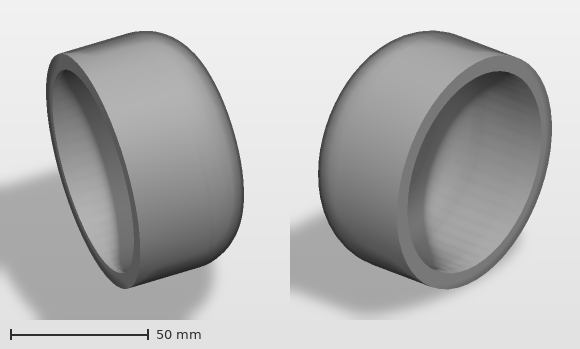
import cadquery as cq
import math

outer_diameter = 88.9
wall = 6.05
height = 51.0
skirt_length = 27.5
knuckle_radius = 20.0

outer_radius = outer_diameter / 2
dome_rise = height - skirt_length
knuckle_center_radius = outer_radius - knuckle_radius

crown_radius = (knuckle_center_radius**2 + dome_rise**2 - knuckle_radius**2) / (
    2 * (dome_rise - knuckle_radius)
)
crown_center_y = height - crown_radius

crown_half_angle = math.asin(knuckle_center_radius / (crown_radius - knuckle_radius))


def knuckle_point(radius, angle):
    """Point on a knuckle arc, with the angle measured from the axis."""
    return (
        -knuckle_center_radius - radius * math.sin(angle),
        skirt_length + radius * math.cos(angle),
    )


def crown_point(radius, angle):
    """Point on a crown arc, with the angle measured from the axis."""
    return (-radius * math.sin(angle), crown_center_y + radius * math.cos(angle))


def domed_body(offset):
    """Solid cap shape whose surface lies the given distance inside the outer one."""
    radius = outer_radius - offset
    knuckle = knuckle_radius - offset
    crown = crown_radius - offset
    knuckle_middle_angle = (math.pi / 2 + crown_half_angle) / 2
    return (
        cq.Workplane("XY")
        .lineTo(-radius, 0)
        .lineTo(-radius, skirt_length)
        .threePointArc(
            knuckle_point(knuckle, knuckle_middle_angle),
            knuckle_point(knuckle, crown_half_angle),
        )
        .threePointArc(crown_point(crown, crown_half_angle / 2), (0, height - offset))
        .close()
        .revolve(360, (0, 0), (0, 1))
    )


outside = domed_body(0)
cavity = domed_body(wall)
result = outside.cut(cavity)